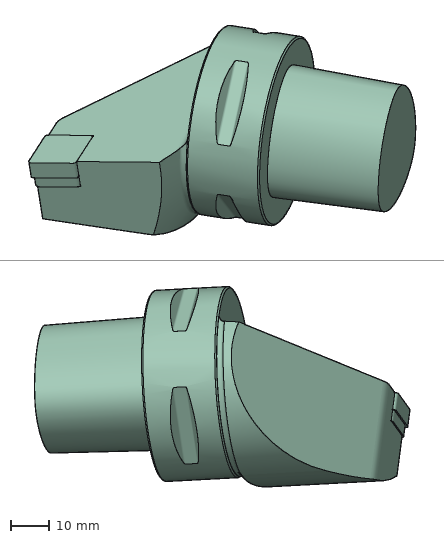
import cadquery as cq
import math


OVERALL_LENGTH = 90

FLANGE_RADIUS = 25.0
FLANGE_LENGTH = 20.0
FLANGE_CHAMFER = 0.45
GRIPPER_FLOOR_RADIUS = 22.2
GRIPPER_FLOOR_WIDTH = 3.5
GRIPPER_WALL_ANGLE = 30
GRIPPER_FLOOR_FILLET = 0.6
GRIPPER_COUNT = 4

SHANK_LENGTH = 30.0
SHANK_BASE_RADIUS = 17.55
SHANK_END_RADIUS = 16.7
SHANK_LOBE = 1.1
SHANK_POINTS = 48

NECK_RADIUS = 24.75
NECK_END_X = -21.4
NECK_FILLET = 0.6
CONE_ANGLE = 60
HEAD_RADIUS = 25.5
HEAD_FLAT_WIDTH = 3.2
HEAD_BELLY_RADIUS = 61.2
HEAD_REACH = 45

CORNER_OVERRUN = 0.07
TIP = (SHANK_LENGTH - OVERALL_LENGTH - CORNER_OVERRUN, -35.1, -0.1)
RAKE_SLOPE_X = 6
RAKE_SLOPE_Y = 5.6
RAKE_FILLET = 3.0

EDGE_ANGLE = 5
FACE_SETBACK = 0.8
OBLIQUE_POINT = (3.3, 20.7)
OBLIQUE_ANGLE = 50.3
NOSE_FILLET = 1.1
SHOULDER_FILLET = 5.0

INSERT_SIDE = 12.9
INSERT_THICKNESS = 4.8
INSERT_CORNER_RADIUS = 0.8
SHIM_THICKNESS = 3.15
SHIM_SETBACK = 0.45
SHIM_CORNER_RADIUS = 1.3

FLANGE_FRONT_X = -FLANGE_LENGTH


def polar(length, angle):
    """Point at a distance and an angle in degrees from the origin."""
    return (length * math.cos(math.radians(angle)), length * math.sin(math.radians(angle)))


def add(point, step):
    return (point[0] + step[0], point[1] + step[1])


def line_crossing(point_a, angle_a, point_b, angle_b):
    """Point where two lines, each given by a point and an angle, cross."""
    ax, ay = polar(1, angle_a)
    bx, by = polar(1, angle_b)
    dx, dy = point_b[0] - point_a[0], point_b[1] - point_a[1]
    along_a = (dx * by - dy * bx) / (ax * by - ay * bx)
    return add(point_a, (along_a * ax, along_a * ay))


def rake_workplane(depth=0.0):
    """Workplane parallel to the rake plane, at a depth below it."""
    slope_x = math.tan(math.radians(RAKE_SLOPE_X))
    slope_y = math.tan(math.radians(RAKE_SLOPE_Y))
    plane = cq.Plane(origin=TIP, xDir=(1, 0, slope_x), normal=(-slope_x, -slope_y, 1))
    return cq.Workplane(plane).workplane(offset=-depth)


def rhombus(side, start, depth, thickness):
    """Rhombic plate whose sides follow the two cutting edges."""
    along = polar(side, EDGE_ANGLE)
    across = polar(side, 90 - EDGE_ANGLE)
    corners = [start, add(start, along), add(add(start, along), across), add(start, across)]
    return rake_workplane(depth).polyline(corners).close().extrude(-thickness)


def rounded_rhombus(side, start, depth, thickness, corner_radius):
    plate = rhombus(side, start, depth, thickness)
    upright = rake_workplane().plane.zDir
    return plate.edges(cq.selectors.ParallelDirSelector(upright)).fillet(corner_radius)


def make_flange():
    flange = cq.Workplane("YZ").circle(FLANGE_RADIUS).extrude(-FLANGE_LENGTH)
    flange = flange.edges().chamfer(FLANGE_CHAMFER)
    for i in range(GRIPPER_COUNT):
        flange = flange.cut(make_gripper_groove((i + 0.5) * 360 / GRIPPER_COUNT))
    return flange


def make_gripper_groove(angle):
    """Cutter for a straight flared groove across the rim, centred on an angle about X."""
    height = 2 * (FLANGE_RADIUS - GRIPPER_FLOOR_RADIUS)
    half_floor = GRIPPER_FLOOR_WIDTH / 2
    half_top = half_floor + height * math.tan(math.radians(GRIPPER_WALL_ANGLE))
    top = GRIPPER_FLOOR_RADIUS + height
    return (
        cq.Workplane("XZ", origin=(-FLANGE_LENGTH / 2, 0, 0))
        .moveTo(-half_floor, GRIPPER_FLOOR_RADIUS)
        .lineTo(half_floor, GRIPPER_FLOOR_RADIUS)
        .lineTo(half_top, top)
        .lineTo(-half_top, top)
        .close()
        .extrude(FLANGE_RADIUS, both=True)
        .edges("|Y and <Z")
        .fillet(GRIPPER_FLOOR_FILLET)
        .rotate((0, 0, 0), (1, 0, 0), angle)
    )


def lobed_section(radius):
    """Points of a three-lobed curve with one lobe toward +Z, from its support function."""
    points = []
    for i in range(SHANK_POINTS):
        turn = 2 * math.pi * i / SHANK_POINTS
        support = radius + SHANK_LOBE * math.cos(3 * turn)
        slope = -3 * SHANK_LOBE * math.sin(3 * turn)
        y = support * math.sin(turn) + slope * math.cos(turn)
        z = support * math.cos(turn) - slope * math.sin(turn)
        points.append((y, z))
    return points


def make_shank():
    return (
        cq.Workplane("YZ")
        .spline(lobed_section(SHANK_BASE_RADIUS), periodic=True)
        .close()
        .workplane(offset=SHANK_LENGTH)
        .spline(lobed_section(SHANK_END_RADIUS), periodic=True)
        .close()
        .loft(ruled=True)
    )


def make_head_prism():
    """Side faces of the head, square to the rake plane."""
    setback = FACE_SETBACK / math.sin(math.radians(90 - 2 * EDGE_ANGLE))
    nose = add(polar(setback, EDGE_ANGLE), polar(setback, 90 - EDGE_ANGLE))
    shoulder = line_crossing(nose, 90 - EDGE_ANGLE, OBLIQUE_POINT, OBLIQUE_ANGLE)
    oblique_end = add(shoulder, polar(2 * HEAD_REACH, OBLIQUE_ANGLE))
    side_end = add(nose, polar(2 * HEAD_REACH, EDGE_ANGLE))
    prism = (
        rake_workplane(HEAD_REACH)
        .polyline([nose, side_end, oblique_end, shoulder])
        .close()
        .extrude(2 * HEAD_REACH)
    )

    def upright_edge_at(point):
        return cq.selectors.NearestToPointSelector(rake_workplane().plane.toWorldCoords(point).toTuple())

    prism = prism.edges(upright_edge_at(nose)).fillet(NOSE_FILLET)
    return prism.edges(upright_edge_at(shoulder)).fillet(SHOULDER_FILLET)


def make_head_section():
    """Cross-section of the head along X: round on +Y and below, a wide belly arc toward -Y."""
    belly_angle = math.degrees(math.asin((HEAD_REACH - HEAD_FLAT_WIDTH) / HEAD_BELLY_RADIUS))
    belly_center = (-HEAD_FLAT_WIDTH, HEAD_BELLY_RADIUS - HEAD_RADIUS)
    belly_middle = add(belly_center, polar(HEAD_BELLY_RADIUS, -90 - belly_angle / 2))
    belly_end = add(belly_center, polar(HEAD_BELLY_RADIUS, -90 - belly_angle))
    return (
        cq.Workplane("YZ", origin=(FLANGE_FRONT_X, 0, 0))
        .moveTo(0, HEAD_RADIUS)
        .threePointArc((HEAD_RADIUS, 0), (0, -HEAD_RADIUS))
        .lineTo(-HEAD_FLAT_WIDTH, -HEAD_RADIUS)
        .threePointArc(belly_middle, belly_end)
        .lineTo(belly_end[0], HEAD_RADIUS)
        .close()
        .extrude(-2 * HEAD_REACH)
    )


def make_turned_envelope():
    """Round neck next to the flange, opening through a cone to the full head."""
    cone_length = (HEAD_REACH - NECK_RADIUS) / math.tan(math.radians(CONE_ANGLE))
    return (
        cq.Workplane("XY")
        .moveTo(FLANGE_FRONT_X, 0)
        .lineTo(FLANGE_FRONT_X, NECK_RADIUS)
        .lineTo(NECK_END_X, NECK_RADIUS)
        .lineTo(NECK_END_X - cone_length, HEAD_REACH)
        .lineTo(-2 * HEAD_REACH, HEAD_REACH)
        .lineTo(-2 * HEAD_REACH, 0)
        .close()
        .revolve(360, (0, 0, 0), (1, 0, 0))
        .edges(cq.selectors.NearestToPointSelector((NECK_END_X, 0, 0)))
        .fillet(NECK_FILLET)
    )


def make_rake_cutter():
    """Space above the rake plane, with a rounded corner against the flange front."""
    tilt = math.radians(RAKE_SLOPE_Y)
    rise = math.tan(math.radians(RAKE_SLOPE_X))
    corner = (FLANGE_FRONT_X, TIP[1], TIP[2] + rise * (FLANGE_FRONT_X - TIP[0]))
    across = (0, math.cos(tilt), math.sin(tilt))
    drop = 2 * HEAD_REACH * rise * math.cos(tilt)
    return (
        cq.Workplane(cq.Plane(origin=corner, xDir=(-1, 0, 0), normal=across))
        .polyline([(0, 0), (2 * HEAD_REACH, -drop), (2 * HEAD_REACH, HEAD_REACH), (0, HEAD_REACH)])
        .close()
        .extrude(2 * HEAD_REACH, both=True)
        .edges(cq.selectors.NearestToPointSelector(corner))
        .fillet(RAKE_FILLET)
    )


def make_shim():
    """Rounded seat plate under the insert, set back from the cutting edges."""
    start = add(polar(SHIM_SETBACK, EDGE_ANGLE), polar(SHIM_SETBACK, 90 - EDGE_ANGLE))
    side = INSERT_SIDE - SHIM_SETBACK
    return rounded_rhombus(side, start, INSERT_THICKNESS, SHIM_THICKNESS, SHIM_CORNER_RADIUS)


def make_holder():
    head = make_head_prism().intersect(make_head_section()).intersect(make_turned_envelope())
    head = head.cut(make_rake_cutter())
    pocket = rhombus(INSERT_SIDE, (0, 0), 0, INSERT_THICKNESS + SHIM_THICKNESS)
    head = head.cut(pocket).union(make_shim())
    return make_flange().union(make_shank()).union(head)


def make_insert():
    return rounded_rhombus(INSERT_SIDE, (0, 0), 0, INSERT_THICKNESS, INSERT_CORNER_RADIUS)


holder = make_holder()
insert = make_insert()

result = cq.Compound.makeCompound([holder.val(), insert.val()])